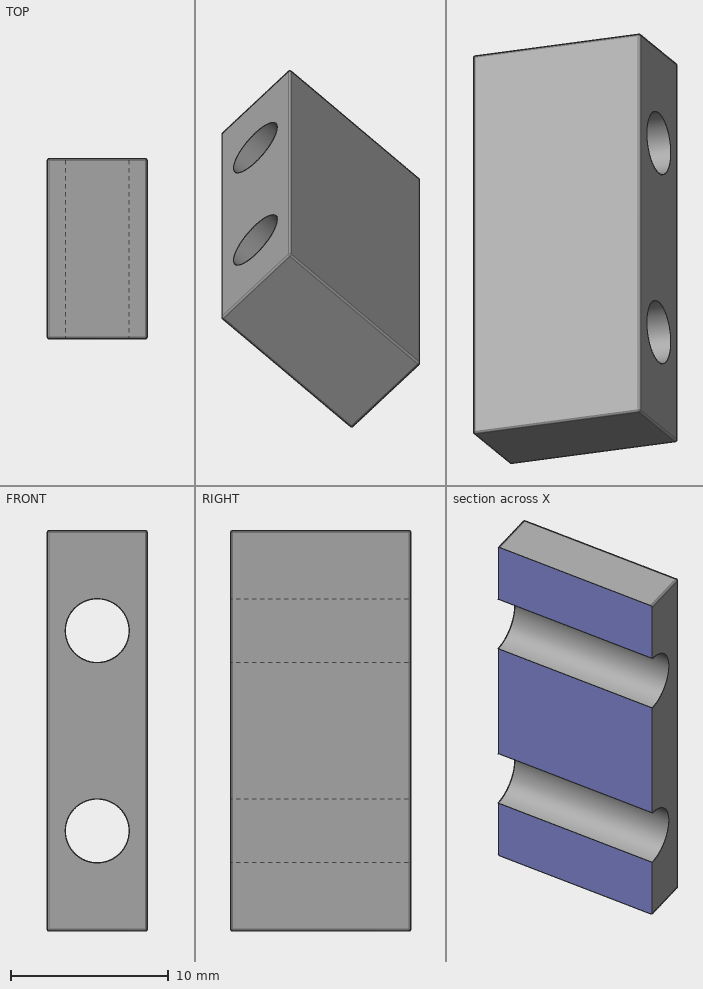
import cadquery as cq

width = 6.35
depth = 11.43
height = 25.4
edge_radius = 0.127

hole_diameter = 4.0386
hole_offset = height / 4


def rounded_block():
    """Rectangular block centred on the origin with every edge rounded."""
    return cq.Workplane("XY").box(width, depth, height).edges().fillet(edge_radius)


def drill_holes(block):
    """Drill the pair of holes right through the block along Y."""
    return (
        block.faces("<Y")
        .workplane(centerOption="CenterOfBoundBox")
        .pushPoints([(0, -hole_offset), (0, hole_offset)])
        .hole(hole_diameter)
    )


result = drill_holes(rounded_block())